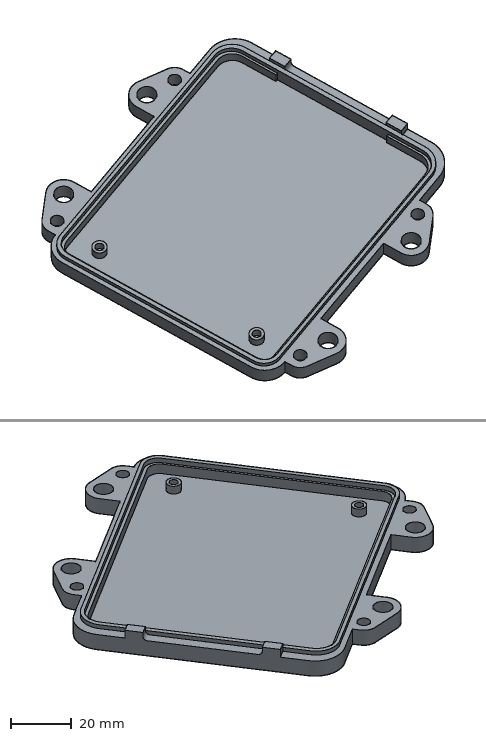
import cadquery as cq
import math

plate_width = 91.3
plate_length = 108.5
plate_height = 6.0
floor_thickness = 2.0
plate_front_radius = 8.1
plate_rear_radius = 10.0
rear_y = plate_length / 2
front_y = -rear_y

rim_height = 1.5
rim_half_width = 43.6
rim_side_wall = 1.3
rim_end_wall = 1.6
rim_front_inset = 1.6
rim_rear_inset = 3.6
rim_front_radius = 6.2
rim_rear_radius = 8.0
rim_top = plate_height + rim_height
rim_front_y = front_y + rim_front_inset
rim_rear_y = rear_y - rim_rear_inset

ledge_depth = 1.8
ledge_side_width = 1.2
ledge_end_width = 0.8
ledge_z = rim_top - ledge_depth
ledge_gap_width = 44.0

ear_large_radius = 6.0
ear_small_radius = 5.0
ear_large_hole = 6.5
ear_small_hole = 4.5
ear_tip_x = 58.5
ear_large_x = ear_tip_x - ear_large_radius
ear_small_x = 48.3
ear_mirror_y = -6.8
ear_large_offset = 24.3
ear_small_offset = 34.4

tab_width = 6.1
tab_inner_x = 20.1
tab_height = 3.0
tab_fillet = 1.5

post_diameter = 5.0
post_hole = 2.9
post_height = 3.0
post_x = 31.2
post_y = -41.5


def rounded_block(half_width, y_front, y_rear, front_radius, rear_radius, z_bottom, z_top):
    """Upright block with separate corner radii at its front and rear."""
    block = (
        cq.Workplane("XY", origin=(0, (y_front + y_rear) / 2, z_bottom))
        .rect(2 * half_width, y_rear - y_front)
        .extrude(z_top - z_bottom)
    )
    block = block.edges("|Z and <Y").fillet(front_radius)
    return block.edges("|Z and >Y").fillet(rear_radius)


def ear():
    """Rear right ear, with its root buried in the plate."""
    run_x = ear_small_x - ear_large_x
    run_y = ear_small_offset - ear_large_offset
    spacing = math.hypot(run_x, run_y)
    tangent = math.atan2(run_y, run_x) - math.acos((ear_large_radius - ear_small_radius) / spacing)

    def lobe_point(x, y, radius, angle):
        return (x + radius * math.cos(angle), y + radius * math.sin(angle))

    down = -math.pi / 2
    up = math.pi / 2
    large_y = ear_mirror_y + ear_large_offset
    small_y = ear_mirror_y + ear_small_offset
    large = (ear_large_x, large_y, ear_large_radius)
    small = (ear_small_x, small_y, ear_small_radius)
    root_x = rim_half_width
    lug = (
        cq.Workplane("XY")
        .moveTo(root_x, large_y - ear_large_radius)
        .lineTo(*lobe_point(*large, down))
        .threePointArc(lobe_point(*large, (down + tangent) / 2), lobe_point(*large, tangent))
        .lineTo(*lobe_point(*small, tangent))
        .threePointArc(lobe_point(*small, (tangent + up) / 2), lobe_point(*small, up))
        .lineTo(root_x, small_y + ear_small_radius)
        .close()
        .extrude(plate_height)
    )
    for x, y, hole in ((ear_large_x, large_y, ear_large_hole), (ear_small_x, small_y, ear_small_hole)):
        lug = lug.cut(cq.Workplane("XY").center(x, y).circle(hole / 2).extrude(plate_height))
    return lug


def tab():
    """Right latch tab, with a concave fillet at the foot of its inner side."""
    top_z = plate_height + tab_height
    return (
        cq.Workplane("XZ", origin=(0, rear_y, 0))
        .moveTo(tab_inner_x + tab_width, floor_thickness)
        .lineTo(tab_inner_x + tab_width, top_z)
        .lineTo(tab_inner_x, top_z)
        .lineTo(tab_inner_x, plate_height + tab_fillet)
        .radiusArc((tab_inner_x - tab_fillet, plate_height), tab_fillet)
        .lineTo(tab_inner_x - tab_fillet, floor_thickness)
        .close()
        .extrude(rim_rear_inset)
    )


body = rounded_block(
    plate_width / 2, front_y, rear_y, plate_front_radius, plate_rear_radius, 0, plate_height
)
rim = rounded_block(
    rim_half_width, rim_front_y, rim_rear_y, rim_front_radius, rim_rear_radius, floor_thickness, rim_top
)
body = body.union(rim)

rear_ear = ear()
front_ear = rear_ear.mirror("XZ", (0, ear_mirror_y, 0))
for side_part in (rear_ear, front_ear, tab()):
    body = body.union(side_part).union(side_part.mirror("YZ"))

upper_half_width = rim_half_width - rim_side_wall
upper_front_y = rim_front_y + rim_end_wall
upper_rear_y = rim_rear_y - rim_end_wall
upper_front_radius = rim_front_radius - rim_side_wall
upper_rear_radius = rim_rear_radius - rim_side_wall
upper_step = rounded_block(
    upper_half_width, upper_front_y, upper_rear_y, upper_front_radius, upper_rear_radius, ledge_z, rim_top
)
pocket = rounded_block(
    upper_half_width - ledge_side_width,
    upper_front_y + ledge_end_width,
    upper_rear_y - ledge_end_width,
    upper_front_radius - ledge_end_width,
    upper_rear_radius - ledge_end_width,
    floor_thickness,
    rim_top,
)
body = body.cut(upper_step).cut(pocket)

ledge_gap = cq.Workplane("XY").box(
    ledge_gap_width, 2 * ledge_end_width, rim_top - floor_thickness, centered=(True, True, False)
)
body = body.cut(ledge_gap.translate((0, upper_rear_y - ledge_end_width, floor_thickness)))

posts = (
    cq.Workplane("XY", origin=(0, 0, floor_thickness))
    .pushPoints([(-post_x, post_y), (post_x, post_y)])
    .circle(post_diameter / 2)
    .circle(post_hole / 2)
    .extrude(post_height)
)
result = body.union(posts)